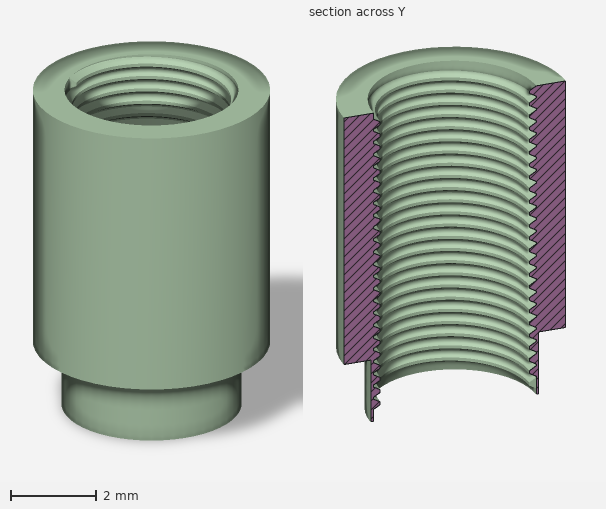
import cadquery as cq
import math

total_height = 8.05
body_diameter = 5.56
neck_diameter = 4.22
neck_height = 1.61

millimetres_per_inch = 25.4
threads_per_inch = 80
thread_pitch = millimetres_per_inch / threads_per_inch
minor_diameter = 3.73
flank_angle = math.radians(30)
thread_depth = 5 / 8 * thread_pitch * math.cos(flank_angle)
crest_width = thread_pitch / 4
flank_height = thread_depth * math.tan(flank_angle)
ridge_base_width = crest_width + 2 * flank_height
turn_count = 24

minor_radius = minor_diameter / 2
bore_radius = minor_radius + thread_depth
wall_overlap = 0.02


def make_sleeve():
    """Stepped tube with a plain through bore at the thread's major diameter."""
    neck = cq.Workplane("XY").circle(neck_diameter / 2).extrude(neck_height)
    body = (
        cq.Workplane("XY")
        .workplane(offset=neck_height)
        .circle(body_diameter / 2)
        .extrude(total_height - neck_height)
    )
    bore = cq.Workplane("XY").circle(bore_radius).extrude(total_height)
    return neck.union(body).cut(bore)


def make_thread_ridge():
    """Helical ridge whose upper end starts flush with the top face, on the -X side."""
    helix_height = turn_count * thread_pitch
    ridge_top = total_height - helix_height
    ridge_bottom = ridge_top - ridge_base_width
    buried_radius = bore_radius + wall_overlap
    profile = (
        cq.Workplane("XZ")
        .moveTo(-buried_radius, ridge_bottom)
        .lineTo(-bore_radius, ridge_bottom)
        .lineTo(-minor_radius, ridge_bottom + flank_height)
        .lineTo(-minor_radius, ridge_top - flank_height)
        .lineTo(-bore_radius, ridge_top)
        .lineTo(-buried_radius, ridge_top)
        .close()
    )
    helix = cq.Wire.makeHelix(thread_pitch, helix_height, bore_radius)
    path = helix.rotate(cq.Vector(0, 0, 0), cq.Vector(0, 0, 1), 180)
    path = path.translate(cq.Vector(0, 0, ridge_bottom))
    return profile.sweep(cq.Workplane(obj=path), isFrenet=True)


threaded_sleeve = make_sleeve().union(make_thread_ridge())
result = cq.Workplane(obj=threaded_sleeve.solids().val())